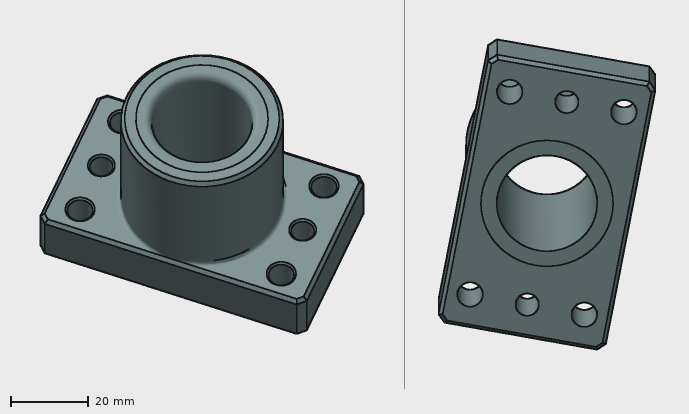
import cadquery as cq

PLATE_LENGTH = 74.0
PLATE_WIDTH = 44.0
PLATE_THICKNESS = 15.0
CORNER_CHAMFER = 2.0
EDGE_CHAMFER = CORNER_CHAMFER / 2

TOTAL_HEIGHT = 50.0
SLEEVE_DIAMETER = 41.95
SLEEVE_TOP_CHAMFER = EDGE_CHAMFER
SLEEVE_BASE_FILLET = EDGE_CHAMFER

BUSHING_DIAMETER = 34.2
BORE_DIAMETER = 26.0
BORE_MOUTH_RADIUS = 2.0

HOLE_X = 28.0
BOLT_HOLE_Y = 15.0
BOLT_HOLE_DIAMETER = 6.6
DOWEL_HOLE_DIAMETER = 6.0
HOLE_CHAMFER = 0.5

BOLT_POINTS = [(x, y) for x in (-HOLE_X, HOLE_X) for y in (-BOLT_HOLE_Y, BOLT_HOLE_Y)]
DOWEL_POINTS = [(-HOLE_X, 0), (HOLE_X, 0)]


def make_plate():
    """Block with cut corners and chamfered top and bottom edges."""
    plate = cq.Workplane("XY").box(
        PLATE_LENGTH, PLATE_WIDTH, PLATE_THICKNESS, centered=(True, True, False)
    )
    plate = plate.edges("|Z").chamfer(CORNER_CHAMFER)
    return plate.faces("<Z or >Z").edges().chamfer(EDGE_CHAMFER)


def make_sleeve():
    """Upright cylinder with a chamfered rim, starting at the plate's underside."""
    sleeve = cq.Workplane("XY").circle(SLEEVE_DIAMETER / 2).extrude(TOTAL_HEIGHT)
    return sleeve.faces(">Z").edges().chamfer(SLEEVE_TOP_CHAMFER)


def make_hole_cutter(points, diameter):
    """Through-hole cutters that widen to a chamfer at the plate's top face."""
    radius = diameter / 2
    profile = [
        (0, 0),
        (radius, 0),
        (radius, PLATE_THICKNESS - HOLE_CHAMFER),
        (radius + HOLE_CHAMFER, PLATE_THICKNESS),
        (0, PLATE_THICKNESS),
    ]
    cutter = cq.Workplane("XZ").polyline(profile).close().revolve(360, (0, 0), (0, 1)).val()
    return cq.Workplane("XY").pushPoints(points).eachpoint(lambda place: cutter.moved(place))


def make_housing():
    """Plate and sleeve in one piece, with the bushing seat and the fixing holes."""
    housing = make_plate().union(make_sleeve())
    around_plate_top = cq.selectors.BoxSelector(
        (-PLATE_LENGTH, -PLATE_WIDTH, PLATE_THICKNESS - EDGE_CHAMFER),
        (PLATE_LENGTH, PLATE_WIDTH, PLATE_THICKNESS + EDGE_CHAMFER),
    )
    base_edge = housing.edges("%CIRCLE").edges(around_plate_top)
    housing = base_edge.fillet(SLEEVE_BASE_FILLET)
    seat = cq.Workplane("XY").circle(BUSHING_DIAMETER / 2).extrude(TOTAL_HEIGHT)
    housing = housing.cut(seat)
    housing = housing.cut(make_hole_cutter(BOLT_POINTS, BOLT_HOLE_DIAMETER))
    return housing.cut(make_hole_cutter(DOWEL_POINTS, DOWEL_HOLE_DIAMETER))


def make_bushing():
    """Plain bushing with a rounded bore mouth, flush with the sleeve rim."""
    bushing = (
        cq.Workplane("XY")
        .circle(BUSHING_DIAMETER / 2)
        .circle(BORE_DIAMETER / 2)
        .extrude(TOTAL_HEIGHT)
    )
    bore_mouth = bushing.faces(">Z").edges(cq.selectors.RadiusNthSelector(0))
    return bore_mouth.fillet(BORE_MOUTH_RADIUS)


housing = make_housing()
bushing = make_bushing()

result = cq.Compound.makeCompound([housing.solids().val(), bushing.solids().val()])